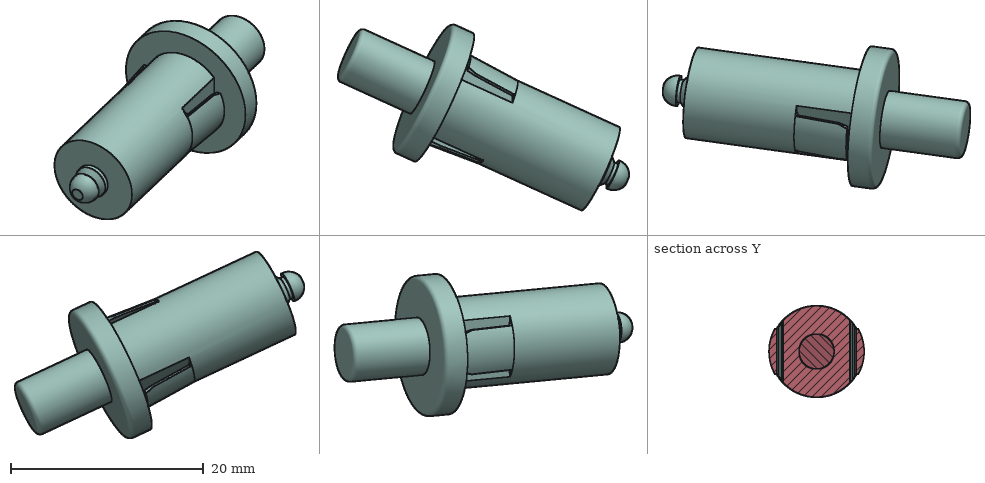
import cadquery as cq
import math


flange_diameter = 14.7
flange_thickness = 2.5
barrel_radius = 4.77
barrel_length = 18.0
edge_fillet = 0.48

slot_length = 6.25
slot_floor_x = 3.5
slot_root_fillet = 0.22
root_fillet_inset = 0.05

finger_tip_gap = 0.65
finger_splay = 0.4
finger_root_inner_x = 3.9
finger_half_width = 2.37
finger_tip_half_width = 2.08
finger_taper_length = 0.95
finger_embed = 0.32

stem_radius = 3.0
stem_length = 8.45
collar_radius = 1.8
collar_length = 0.48
cone_length = 0.58
neck_radius = 1.2
neck_length = 0.4

ball_base_radius = 1.6
ball_length = 1.6
ball_flat_radius = 0.65

barrel_front_y = -barrel_length
cone_start_y = barrel_front_y - collar_length
neck_start_y = cone_start_y - cone_length
ball_base_y = neck_start_y - neck_length
stem_end_y = flange_thickness + stem_length
finger_length = slot_length - finger_tip_gap
splay_angle = math.degrees(math.atan2(finger_splay, finger_length))


def rod(radius, start_y, end_y):
    """Cylinder on the Y axis from start_y up to end_y."""
    plane = cq.Plane(origin=(0, start_y, 0), xDir=(1, 0, 0), normal=(0, 1, 0))
    return cq.Workplane(plane).circle(radius).extrude(end_y - start_y)


def revolve_about_y(profile):
    """Full turn of a closed XY profile about the Y axis."""
    return profile.revolve(360, (0, 0, 0), (0, 1, 0))


def make_slot():
    """Chord cut on the +X side of the barrel, open to the flange."""
    depth = barrel_radius - slot_floor_x
    slot = cq.Workplane("XY").box(
        depth, slot_length, 2 * barrel_radius, centered=(False, False, True)
    )
    return slot.translate((slot_floor_x, -slot_length, 0))


def make_root_fillet():
    """Concave fillet along the slot's end wall, on the finger's inner side."""
    inner = finger_root_inner_x
    radius = slot_root_fillet
    bend = radius * math.sqrt(0.5)
    outer_x = barrel_radius
    strip = (
        cq.Workplane("XY")
        .moveTo(inner - radius, -slot_length)
        .threePointArc(
            (inner - radius + bend, -slot_length + radius - bend),
            (inner, -slot_length + radius),
        )
        .lineTo(outer_x, -slot_length + radius)
        .lineTo(outer_x, -slot_length)
        .close()
        .extrude(barrel_radius, both=True)
    )
    return strip.intersect(rod(barrel_radius - root_fillet_inset, barrel_front_y, 0))


def make_finger():
    """Snap finger on the +X side, splayed outward from the slot's end wall."""
    root_y = -slot_length
    embedded_y = root_y - finger_embed
    tip_y = -finger_tip_gap
    outer_limit = barrel_radius + 2 * finger_splay
    splayed_barrel = rod(barrel_radius, barrel_front_y, flange_thickness).rotate(
        (barrel_radius, root_y, 0), (barrel_radius, root_y, 1), -splay_angle
    )
    thickness_profile = (
        cq.Workplane("XY")
        .polyline([
            (finger_root_inner_x, root_y),
            (finger_root_inner_x, embedded_y),
            (outer_limit, embedded_y),
            (outer_limit, tip_y),
            (finger_root_inner_x + finger_splay, tip_y),
        ])
        .close()
        .extrude(barrel_radius, both=True)
    )
    taper_y = tip_y - finger_taper_length
    width_profile = (
        cq.Workplane("YZ")
        .polyline([
            (embedded_y, -finger_half_width),
            (taper_y, -finger_half_width),
            (tip_y, -finger_tip_half_width),
            (tip_y, finger_tip_half_width),
            (taper_y, finger_half_width),
            (embedded_y, finger_half_width),
        ])
        .close()
        .extrude(outer_limit)
    )
    return thickness_profile.intersect(width_profile).intersect(splayed_barrel)


def make_housing():
    """Flanged barrel with two opposite snap fingers and a stepped bore."""
    flange = rod(flange_diameter / 2, 0, flange_thickness).faces(">Y").edges().fillet(edge_fillet)
    housing = flange.union(rod(barrel_radius, barrel_front_y, 0))
    slot = make_slot()
    finger = make_finger().union(make_root_fillet())
    for angle in (0, 180):
        housing = housing.cut(slot.rotate((0, 0, 0), (0, 1, 0), angle))
        housing = housing.union(finger.rotate((0, 0, 0), (0, 1, 0), angle))
    stem_bore = rod(stem_radius, 0, flange_thickness)
    collar_bore = rod(collar_radius, barrel_front_y, 0)
    return housing.cut(stem_bore).cut(collar_bore)


def make_plunger():
    """Round stem stepping down to the collar, with a cone and a neck in front."""
    stem = rod(stem_radius, 0, stem_end_y).faces(">Y").edges().fillet(edge_fillet)
    front = revolve_about_y(
        cq.Workplane("XY").polyline([
            (0, 0),
            (collar_radius, 0),
            (collar_radius, cone_start_y),
            (neck_radius, neck_start_y),
            (neck_radius, ball_base_y),
            (0, ball_base_y),
        ]).close()
    )
    return stem.union(front)


def make_ball():
    """Ball head with a flat base against the neck and a small flat at its tip."""
    center_depth = (ball_length**2 + ball_flat_radius**2 - ball_base_radius**2) / (2 * ball_length)
    sphere_radius = math.hypot(ball_base_radius, center_depth)
    bend = sphere_radius * math.sqrt(0.5)
    return revolve_about_y(
        cq.Workplane("XY")
        .moveTo(0, ball_base_y)
        .lineTo(ball_base_radius, ball_base_y)
        .threePointArc(
            (bend, ball_base_y - center_depth - bend),
            (ball_flat_radius, ball_base_y - ball_length),
        )
        .lineTo(0, ball_base_y - ball_length)
        .close()
    )


housing = make_housing()
plunger = make_plunger()
ball = make_ball()

result = cq.Compound.makeCompound([body.solids().val() for body in (housing, plunger, ball)])